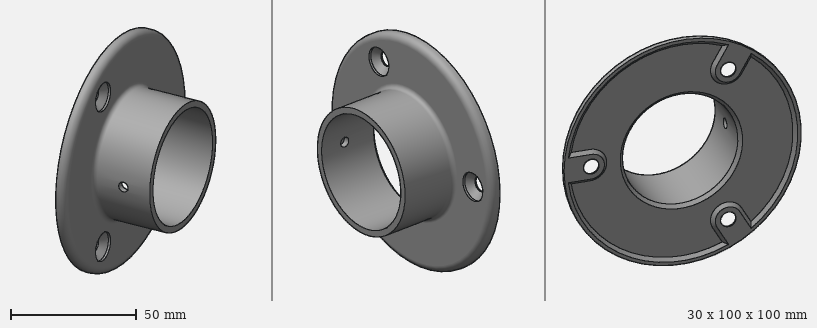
import cadquery as cq

flange_radius = 50.0
flange_thickness = 4.5
flange_edge_radius = 3.0

total_length = 30.0
tube_radius = 27.0
bore_radius = 24.3
neck_fillet = 2.0

recess_depth = 1.5
recess_mouth_radius = 48.5
bore_chamfer = 1.5

screw_count = 3
pad_top_half_width = 5.5
screw_circle_radius = 38.5
screw_hole_diameter = 6.5

head_diameter = 12.2
head_sink_depth = 1.0

pin_hole_x = 18.0
pin_hole_diameter = 4.2


def disc(radius, start_x, length):
    """Cylinder along +X, starting at start_x."""
    return cq.Workplane("YZ", origin=(start_x, 0, 0)).circle(radius).extrude(length)


def repeat_around_axis(shape):
    """Copies of a shape at the evenly spaced screw positions around X."""
    return [shape.rotate((0, 0, 0), (1, 0, 0), index * 360 / screw_count) for index in range(screw_count)]


def make_body():
    """Rounded flange and tube joined by a fillet, still solid inside."""
    flange = disc(flange_radius, 0, flange_thickness).faces(">X").edges().fillet(flange_edge_radius)
    body = flange.union(disc(tube_radius, 0, total_length))
    flat_band_radius = (flange_radius - flange_edge_radius + tube_radius) / 2
    select_margin = 0.1
    neck_box = cq.selectors.BoxSelector(
        (flange_thickness - select_margin, -flat_band_radius, -flat_band_radius),
        (flange_thickness + select_margin, flat_band_radius, flat_band_radius),
        boundingbox=True,
    )
    neck = body.edges(neck_box)
    return neck.fillet(neck_fillet)


def make_pad():
    """U-shaped pad on the +Y side: rounded towards the axis, running out past the rim, flaring to its foot."""
    foot_half_width = pad_top_half_width + recess_depth
    rounded_end = cq.Workplane(
        cq.Solid.makeCone(
            pad_top_half_width, foot_half_width, recess_depth,
            pnt=cq.Vector(0, screw_circle_radius, 0), dir=cq.Vector(1, 0, 0),
        )
    )
    straight_part = (
        cq.Workplane("XZ", origin=(0, screw_circle_radius, 0))
        .polyline([
            (0, -pad_top_half_width),
            (0, pad_top_half_width),
            (recess_depth, foot_half_width),
            (recess_depth, -foot_half_width),
        ])
        .close()
        .extrude(-(flange_radius - screw_circle_radius))
    )
    return rounded_end.union(straight_part)


def make_recess():
    """Conical recess with the pads taken out of it."""
    recess = cq.Workplane(
        cq.Solid.makeCone(
            recess_mouth_radius, recess_mouth_radius - recess_depth, recess_depth,
            pnt=cq.Vector(0, 0, 0), dir=cq.Vector(1, 0, 0),
        )
    )
    for pad in repeat_around_axis(make_pad()):
        recess = recess.cut(pad)
    return recess


def make_bore():
    """Through bore, chamfered where it meets the recess floor."""
    chamfer = cq.Workplane(
        cq.Solid.makeCone(
            bore_radius + bore_chamfer, bore_radius, bore_chamfer,
            pnt=cq.Vector(recess_depth, 0, 0), dir=cq.Vector(1, 0, 0),
        )
    )
    return disc(bore_radius, 0, total_length).union(chamfer)


def make_screw_hole():
    """Screw hole on the +Y side, with a countersink sunk below the tube side of the flange."""
    cone_depth = (head_diameter - screw_hole_diameter) / 2
    cone_start_x = flange_thickness - head_sink_depth - cone_depth
    profile = (
        cq.Workplane("XY")
        .polyline([
            (0, 0),
            (0, screw_hole_diameter / 2),
            (cone_start_x, screw_hole_diameter / 2),
            (cone_start_x + cone_depth, head_diameter / 2),
            (flange_thickness, head_diameter / 2),
            (flange_thickness, 0),
        ])
        .close()
    )
    return profile.revolve(360, (0, 0, 0), (1, 0, 0)).translate((0, screw_circle_radius, 0))


def make_pin_hole():
    """Radial hole from the axis outwards through the -Y wall."""
    return (
        cq.Workplane("XZ", origin=(pin_hole_x, 0, 0))
        .circle(pin_hole_diameter / 2)
        .extrude(tube_radius)
    )


result = make_body().cut(make_recess()).cut(make_bore()).cut(make_pin_hole())
for screw_hole in repeat_around_axis(make_screw_hole()):
    result = result.cut(screw_hole)